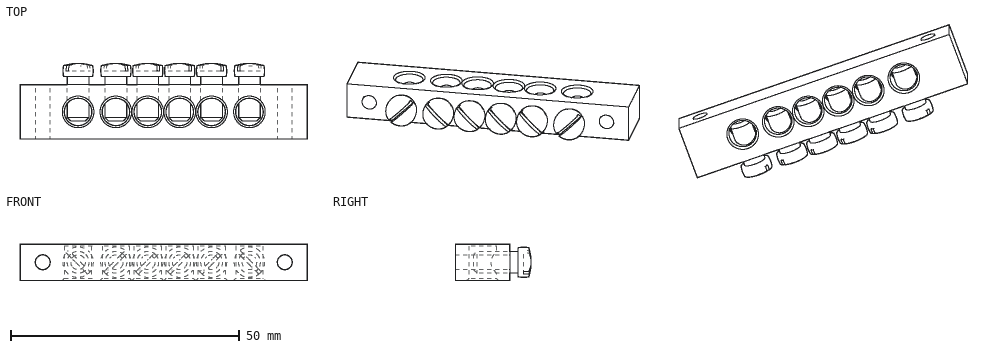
import cadquery as cq
import math


BLOCK_LENGTH = 63.0
BLOCK_DEPTH = 12.0
BLOCK_HEIGHT = 8.0
MOUNT_HOLE_DIAMETER = 3.2
MOUNT_HOLE_OFFSET = 26.5

WIRE_HOLE_DIAMETER = 6.0
WIRE_HOLE_CHAMFER = 0.47
INNER_PITCH = 7.0
OUTER_OFFSET = 18.8
INNER_COUNT = 4
INNER_POSITIONS = [(i - (INNER_COUNT - 1) / 2) * INNER_PITCH for i in range(INNER_COUNT)]
OUTER_POSITIONS = [-OUTER_OFFSET, OUTER_OFFSET]
WIRE_HOLE_Y = -BLOCK_DEPTH / 2

SHANK_DIAMETER = 4.8
TIP_DIAMETER = 3.2
TIP_CHAMFER = (SHANK_DIAMETER - TIP_DIAMETER) / 2
TIP_Y = -8.0
HEAD_BOTTOM_Y = 1.75
HEAD_TOP_Y = 4.65
HEAD_MAX_DIAMETER = 6.7
HEAD_RIM_DIAMETER = 6.4
CROWN_HEIGHT = 0.5
HEAD_EDGE_RADIUS = 0.2
SLOT_WIDTH = 0.75
SLOT_DEPTH = 1.7
INNER_SLOT_ANGLE = -45.0
OUTER_SLOT_ANGLE = 45.0


def cylinder_along_y(diameter, x, y_start, y_end):
    base = cq.Vector(x, y_start, 0)
    direction = cq.Vector(0, y_end - y_start, 0)
    return cq.Workplane(cq.Solid.makeCylinder(diameter / 2, abs(y_end - y_start), base, direction))


def wire_hole(x):
    """Cutter for a vertical wire hole with a chamfer at both mouths."""
    bore_radius = WIRE_HOLE_DIAMETER / 2
    mouth_radius = bore_radius + WIRE_HOLE_CHAMFER
    half_height = BLOCK_HEIGHT / 2
    bore_end = half_height - WIRE_HOLE_CHAMFER
    return (
        cq.Workplane("XZ")
        .moveTo(0, -half_height)
        .lineTo(mouth_radius, -half_height)
        .lineTo(bore_radius, -bore_end)
        .lineTo(bore_radius, bore_end)
        .lineTo(mouth_radius, half_height)
        .lineTo(0, half_height)
        .close()
        .revolve(360, (0, 0, 0), (0, 1, 0))
        .translate((x, WIRE_HOLE_Y, 0))
    )


def make_block():
    block = cq.Workplane("XY").box(BLOCK_LENGTH, BLOCK_DEPTH, BLOCK_HEIGHT)
    block = block.translate((0, -BLOCK_DEPTH / 2, 0))
    for x in (-MOUNT_HOLE_OFFSET, MOUNT_HOLE_OFFSET):
        block = block.cut(cylinder_along_y(MOUNT_HOLE_DIAMETER, x, -BLOCK_DEPTH, 0))
    for x in INNER_POSITIONS + OUTER_POSITIONS:
        block = block.cut(wire_hole(x))
        block = block.cut(cylinder_along_y(SHANK_DIAMETER, x, WIRE_HOLE_Y, 0))
    return block


def make_screw(x, slot_angle):
    """Screw along Y with a chamfered tip, a barrel-sided head and a domed crown cut by a slot."""
    shank_radius = SHANK_DIAMETER / 2
    tip_radius = TIP_DIAMETER / 2
    rim_radius = HEAD_RIM_DIAMETER / 2
    rim_top_y = HEAD_TOP_Y - CROWN_HEIGHT
    barrel_middle = (HEAD_MAX_DIAMETER / 2, (HEAD_BOTTOM_Y + rim_top_y) / 2)

    crown_radius = (rim_radius**2 + CROWN_HEIGHT**2) / (2 * CROWN_HEIGHT)
    half_rim_radius = rim_radius / 2
    crown_centre_y = HEAD_TOP_Y - crown_radius
    crown_middle = (half_rim_radius, crown_centre_y + math.sqrt(crown_radius**2 - half_rim_radius**2))

    screw = (
        cq.Workplane("XY")
        .moveTo(0, TIP_Y)
        .lineTo(tip_radius, TIP_Y)
        .lineTo(shank_radius, TIP_Y + TIP_CHAMFER)
        .lineTo(shank_radius, HEAD_BOTTOM_Y)
        .lineTo(rim_radius, HEAD_BOTTOM_Y)
        .threePointArc(barrel_middle, (rim_radius, rim_top_y))
        .threePointArc(crown_middle, (0, HEAD_TOP_Y))
        .close()
        .revolve(360, (0, 0, 0), (0, 1, 0))
    )
    head_rims = screw.edges("%CIRCLE").filter(lambda edge: math.isclose(edge.radius(), rim_radius))
    screw = head_rims.fillet(HEAD_EDGE_RADIUS)
    slot = (
        cq.Workplane("XY")
        .box(2 * HEAD_MAX_DIAMETER, SLOT_DEPTH, SLOT_WIDTH)
        .translate((0, HEAD_TOP_Y - SLOT_DEPTH / 2, 0))
        .rotate((0, 0, 0), (0, 1, 0), slot_angle)
    )
    return screw.cut(slot).translate((x, 0, 0))


block = make_block()
screws = [make_screw(x, INNER_SLOT_ANGLE) for x in INNER_POSITIONS]
screws += [make_screw(x, OUTER_SLOT_ANGLE) for x in OUTER_POSITIONS]

result = cq.Compound.makeCompound([block.val(), *[screw.val() for screw in screws]])